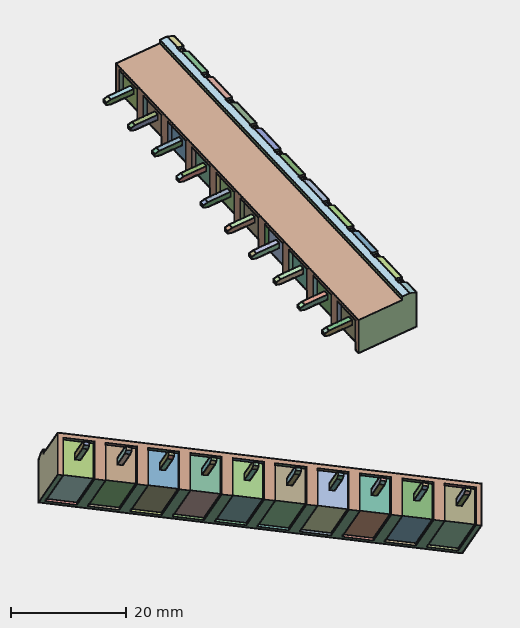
import cadquery as cq

position_count = 10
length = 76.15
pitch = length / position_count
position_centers = [pitch * (index + 0.5) for index in range(position_count)]

depth = 12.0
deck_height = 8.0
full_height = 8.8
lip_depth = 3.0
lip_bevel_depth = 1.45
lip_bevel_drop = 0.6

pocket_width = 5.6
pocket_height = 7.15
pocket_depth = 0.8

channel_height = 0.45
rear_wall = 0.9

pin_reach = 4.8
pin_width = 1.0
pin_thickness = 1.2
pin_center_height = 4.3
tip_length = 0.9
tip_thickness = 0.6

notch_rear_width = 1.5
notch_front_width = 1.1
notch_depth = 1.6
notch_floor_height = 7.9
notch_floor_start = 0.5
notch_floor_end = 1.0
notch_rear_drop = 0.3
notch_floor_dish = 0.1
notch_clearance = 0.4


def make_housing():
    profile = [
        (0, 0),
        (depth, 0),
        (depth, full_height - lip_bevel_drop),
        (depth - lip_bevel_depth, full_height),
        (depth - lip_depth, full_height),
        (depth - lip_depth, deck_height),
        (0, deck_height),
    ]
    return cq.Workplane("YZ").polyline(profile).close().extrude(length)


def make_pocket(center):
    """Front pocket together with the channel behind it."""
    left = center - pocket_width / 2
    pocket = cq.Workplane("XY").box(pocket_width, pocket_depth, pocket_height, centered=False)
    channel = cq.Workplane("XY").box(pocket_width, depth - rear_wall, channel_height, centered=False)
    return pocket.union(channel).translate((left, 0, 0))


def make_pin(center):
    """Pin standing out from the pocket's back wall, bevelled above and below at its tip."""
    half = pin_thickness / 2
    half_tip = tip_thickness / 2
    profile = [
        (pocket_depth, -half),
        (pocket_depth, half),
        (tip_length - pin_reach, half),
        (-pin_reach, half_tip),
        (-pin_reach, -half_tip),
        (tip_length - pin_reach, -half),
    ]
    pin = cq.Workplane("YZ").polyline(profile).close().extrude(pin_width / 2, both=True)
    return pin.translate((center, 0, pin_center_height))


def notch_section(setback, floor_height, dish):
    """Wire across the notch at a distance from the rear face; the floor sags by `dish`."""
    half = (notch_rear_width + (notch_front_width - notch_rear_width) * setback / notch_depth) / 2
    y = depth - setback
    top = full_height + notch_clearance
    left_edge = cq.Vector(-half, y, floor_height + dish)
    right_edge = cq.Vector(half, y, floor_height + dish)
    left_top = cq.Vector(-half, y, top)
    right_top = cq.Vector(half, y, top)
    if dish > 0:
        floor = cq.Edge.makeThreePointArc(left_edge, cq.Vector(0, y, floor_height), right_edge)
    else:
        floor = cq.Edge.makeLine(left_edge, right_edge)
    return cq.Wire.assembleEdges([
        floor,
        cq.Edge.makeLine(right_edge, right_top),
        cq.Edge.makeLine(right_top, left_top),
        cq.Edge.makeLine(left_top, left_edge),
    ])


def make_notch(center):
    """Tapered notch: sloped entry at the rear, level floor, then a slope up to the lip top."""
    sections = [
        notch_section(0, notch_floor_height - notch_rear_drop, notch_floor_dish),
        notch_section(notch_floor_start, notch_floor_height, notch_floor_dish),
        notch_section(notch_floor_end, notch_floor_height, notch_floor_dish),
        notch_section(notch_depth, full_height, 0),
    ]
    notch = cq.Workplane("XY").add(cq.Solid.makeLoft(sections, True))
    return notch.translate((center, 0, 0))


result = make_housing()
for position in position_centers:
    result = result.cut(make_pocket(position))
    result = result.cut(make_notch(position))
    result = result.union(make_pin(position))